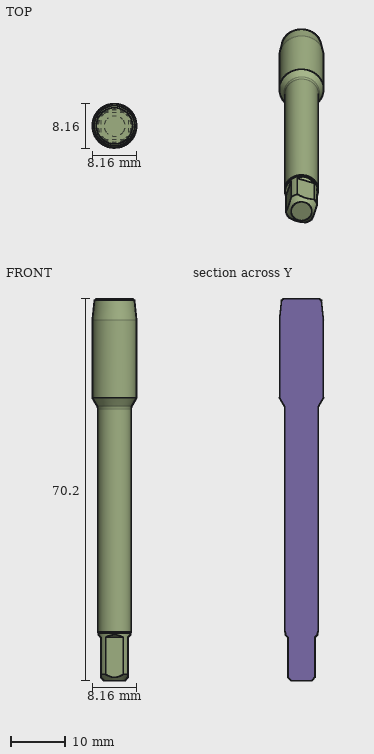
import cadquery as cq
import math

total_length = 70.2
thread_dia = 8.16
shank_dia = 6.2
drive_dia = 5.95

square_across_flats = 5.0
square_length = 8.0
drive_end_dia = 3.8
drive_chamfer_height = 1.2
shank_step_bottom = 8.8
shank_step_height = 0.2

neck_cone_angle = 30.0
neck_fillet_radius = 1.15
head_bottom = 52.0

lead_bottom = 66.3
tip_chamfer_height = 0.3
lead_end_dia = 7.4
tip_dia = 6.65


def make_turned_body():
    """Revolve the half profile of the whole tap about Z."""
    shank_radius = shank_dia / 2
    thread_radius = thread_dia / 2

    cone_angle = math.radians(neck_cone_angle)
    neck_corner = head_bottom - (thread_radius - shank_radius) / math.tan(cone_angle)
    tangent_length = neck_fillet_radius * math.tan(cone_angle / 2)
    fillet_start = (shank_radius, neck_corner - tangent_length)
    fillet_end = (
        shank_radius + tangent_length * math.sin(cone_angle),
        neck_corner + tangent_length * math.cos(cone_angle),
    )

    profile = (
        cq.Workplane("XZ")
        .lineTo(drive_end_dia / 2, 0)
        .lineTo(drive_dia / 2, drive_chamfer_height)
        .lineTo(drive_dia / 2, shank_step_bottom)
        .lineTo(shank_radius, shank_step_bottom + shank_step_height)
        .lineTo(*fillet_start)
        .tangentArcPoint(fillet_end, relative=False)
        .lineTo(thread_radius, head_bottom)
        .lineTo(thread_radius, lead_bottom)
        .lineTo(lead_end_dia / 2, total_length - tip_chamfer_height)
        .lineTo(tip_dia / 2, total_length)
        .lineTo(0, total_length)
        .close()
    )
    return profile.revolve(360, (0, 0), (0, 1))


def make_flat_cutter():
    """Block that removes the stock outside the +X flat, with a 45 degree run-out at its top."""
    flat_offset = square_across_flats / 2
    reach = thread_dia
    outer = flat_offset + reach
    outline = [
        (flat_offset, 0),
        (outer, 0),
        (outer, square_length + reach),
        (flat_offset, square_length),
    ]
    return cq.Workplane("XZ").polyline(outline).close().extrude(thread_dia / 2, both=True)


def cut_square_drive(body):
    """Cut the four flats of the square drive."""
    flat_count = 4
    for index in range(flat_count):
        angle = index * 360 / flat_count
        body = body.cut(make_flat_cutter().rotate((0, 0, 0), (0, 0, 1), angle))
    return body


result = cut_square_drive(make_turned_body())